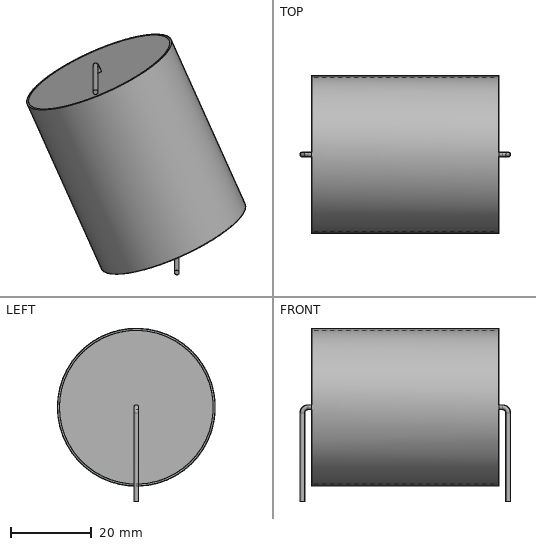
import cadquery as cq

body_length = 46.3
body_diameter = 39.0
sleeve_thickness = 0.5

overall_length = 52.0
lead_diameter = 1.2
lead_bend_radius = 1.4
lead_drop = 23.3

core_diameter = body_diameter - 2 * sleeve_thickness
body_end_x = body_length / 2
lead_x = (overall_length - lead_diameter) / 2


def make_core():
    """Solid cylinder filling the sleeve, flush with both of its ends."""
    return cq.Workplane("YZ", origin=(-body_end_x, 0, 0)).circle(core_diameter / 2).extrude(body_length)


def make_sleeve():
    """Thin tube wrapped around the core."""
    return (
        cq.Workplane("YZ", origin=(-body_end_x, 0, 0))
        .circle(body_diameter / 2)
        .circle(core_diameter / 2)
        .extrude(body_length)
    )


def make_lead(side):
    """Round wire leaving the core end on the axis and bending down; side is -1 or +1 along X."""
    path = (
        cq.Workplane("XZ")
        .moveTo(side * body_end_x, 0)
        .lineTo(side * (lead_x - lead_bend_radius), 0)
        .tangentArcPoint((side * lead_x, -lead_bend_radius), relative=False)
        .lineTo(side * lead_x, -lead_drop)
    )
    return (
        cq.Workplane("YZ", origin=(side * body_end_x, 0, 0))
        .circle(lead_diameter / 2)
        .sweep(path)
    )


core = make_core()
sleeve = make_sleeve()
leads = [make_lead(side) for side in (-1, 1)]

result = cq.Compound.makeCompound([core.val(), sleeve.val(), *[lead.val() for lead in leads]])